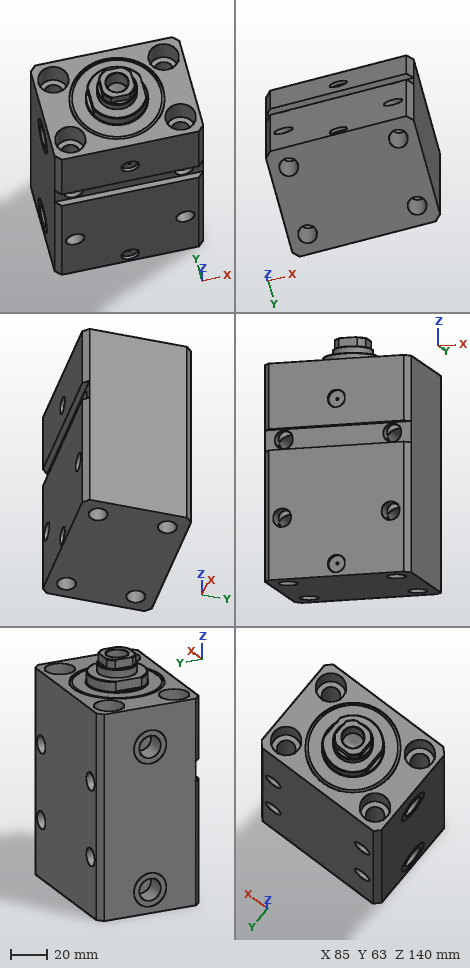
import cadquery as cq
width = 85.0
depth = 63.0
total_height = 140.0

block_height = 123.0
corner_chamfer = 3.4
left_face = -width / 2
front_face = -depth / 2

bolt_dia = 10.5
bolt_x = 31.5
bolt_y = 20.0
counterbore_dia = 17.0
counterbore_depth = 14.0
cross_hole_heights = (35.0, 80.0)

slot_height = 12.0
slot_bottom = 73.8
slot_depth = corner_chamfer

seal_dia = 10.0
seal_depth = 2.0
seal_heights = (7.0, 100.8)
seal_pin_heights = (7.4, 100.8)
pin_hole_dia = 1.3
pin_hole_depth = 4.2

port_heights = (14.0, 99.0)
spotface_dia = 19.9
spotface_depth = 0.1
port_dia = 13.2
port_depth = 12.6

gland_outer_dia = 52.9
gland_inner_dia = 49.8
gland_groove_depth = (gland_outer_dia - gland_inner_dia) / 2

rod_dia = 35.0
rod_bottom = port_heights[0]
rod_edge_chamfer = 0.49
shoulder_dia = rod_dia - 2 * rod_edge_chamfer
rod_flat_width = 30.0
rod_foot_height = 0.8
shoulder_height = 6.6
collar_dia = 22.4
collar_height = 5.0
head_width = 18.0
head_dia = 21.0
collar_bottom = block_height + shoulder_height
head_bottom = collar_bottom + collar_height
rod_hole_dia = 12.3
rod_hole_chamfer = 0.35
rod_hole_depth = 10.5
drill_cone_height = 3.8


def bore_from_front(x, z, diameter, length):
    """Cylinder running toward +Y from the front face."""
    return cq.Workplane(cq.Solid.makeCylinder(
        diameter / 2, length, cq.Vector(x, front_face, z), cq.Vector(0, 1, 0)))


def bore_from_left(z, diameter, length):
    """Cylinder at Y = 0 running toward +X from the left face."""
    return cq.Workplane(cq.Solid.makeCylinder(
        diameter / 2, length, cq.Vector(left_face, 0, z), cq.Vector(1, 0, 0)))


def disc(diameter, bottom, height):
    """Upright cylinder on the Z axis."""
    return cq.Workplane("XY").workplane(offset=bottom).circle(diameter / 2).extrude(height)


def chamfered_disc(diameter, bottom, height):
    """Upright cylinder on the Z axis with its top edge chamfered."""
    return disc(diameter, bottom, height).faces(">Z").edges().chamfer(rod_edge_chamfer)


def gland_groove():
    """Ring cut with a vertical outer wall and a bevelled inner wall."""
    return (
        cq.Workplane("XZ")
        .moveTo(gland_inner_dia / 2, block_height)
        .lineTo(gland_outer_dia / 2, block_height)
        .lineTo(gland_outer_dia / 2, block_height - gland_groove_depth)
        .close()
        .revolve(360, (0, 0, 0), (0, 1, 0))
    )


def make_housing():
    block = (
        cq.Workplane("XY")
        .box(width, depth, block_height, centered=(True, True, False))
        .edges("|Z")
        .chamfer(corner_chamfer)
    )
    block = (
        block.faces(">Z")
        .workplane()
        .rect(2 * bolt_x, 2 * bolt_y, forConstruction=True)
        .vertices()
        .cboreHole(bolt_dia, counterbore_dia, counterbore_depth)
    )
    slot = cq.Workplane("XY").box(width, slot_depth, slot_height, centered=(True, False, False))
    block = block.cut(slot.translate((0, front_face, slot_bottom)))

    for z in cross_hole_heights:
        for x in (-bolt_x, bolt_x):
            block = block.cut(bore_from_front(x, z, bolt_dia, depth))
    for z in seal_heights:
        block = block.cut(bore_from_front(0, z, seal_dia, seal_depth))
    for z in seal_pin_heights:
        block = block.cut(bore_from_front(0, z, pin_hole_dia, seal_depth + pin_hole_depth))
    for z in port_heights:
        block = block.cut(bore_from_left(z, spotface_dia, spotface_depth))
        block = block.cut(bore_from_left(z, port_dia, port_depth))
        block = block.cut(bore_from_left(z, pin_hole_dia, port_depth + pin_hole_depth))

    rod_bore = disc(rod_dia, rod_bottom, block_height - rod_bottom)
    return block.cut(gland_groove()).cut(rod_bore)


def make_rod():
    """Rod with a shoulder that has two wrench flats, a round collar and a four-sided, drilled head."""
    body = chamfered_disc(rod_dia, rod_bottom, block_height + rod_edge_chamfer - rod_bottom)
    foot = disc(shoulder_dia, block_height, rod_foot_height)

    flats = cq.Workplane("XY").box(rod_flat_width, rod_dia, total_height, centered=(True, True, False))
    shoulder = chamfered_disc(shoulder_dia, block_height, shoulder_height).intersect(flats)

    collar = chamfered_disc(collar_dia, collar_bottom, collar_height)

    square = cq.Workplane("XY").rect(head_width, head_width).extrude(total_height)
    head = chamfered_disc(head_dia, head_bottom, total_height - head_bottom).intersect(square)

    drilled_hole = (
        cq.Workplane("XZ")
        .moveTo(0, total_height)
        .lineTo(rod_hole_dia / 2 + rod_hole_chamfer, total_height)
        .lineTo(rod_hole_dia / 2, total_height - rod_hole_chamfer)
        .lineTo(rod_hole_dia / 2, total_height - rod_hole_depth)
        .lineTo(0, total_height - rod_hole_depth - drill_cone_height)
        .close()
        .revolve(360, (0, 0, 0), (0, 1, 0))
    )
    return body.union(foot).union(shoulder).union(collar).union(head).cut(drilled_hole)


housing = make_housing()
rod = make_rod()

result = cq.Compound.makeCompound([housing.val(), rod.val()])